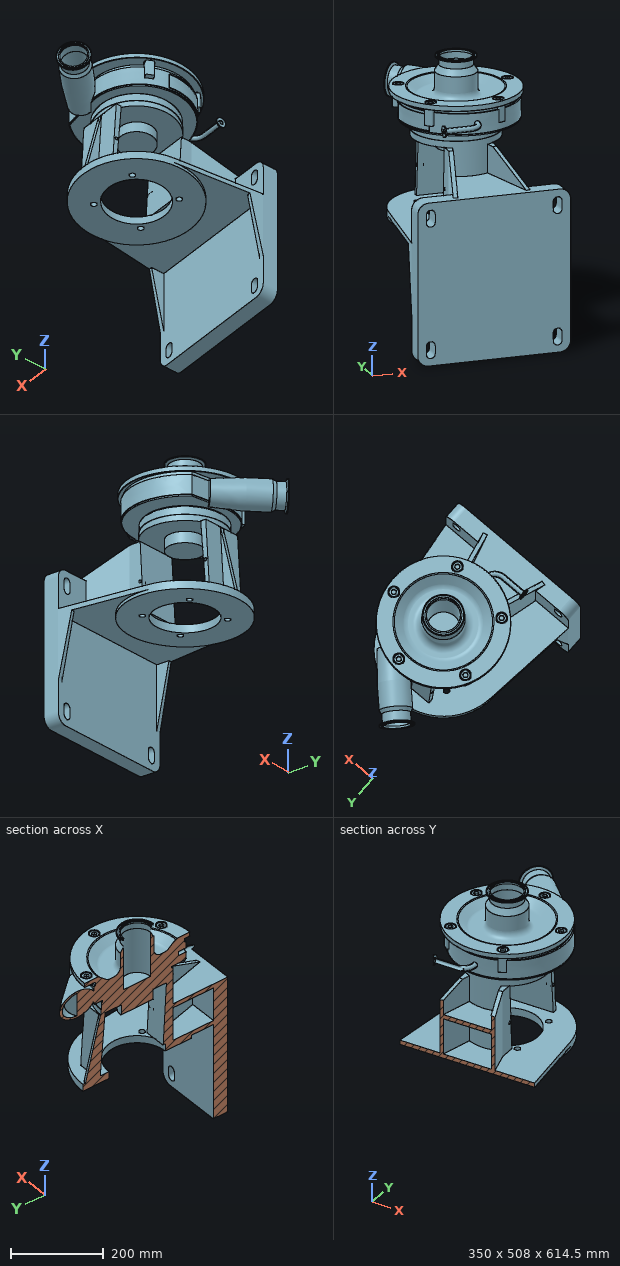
import cadquery as cq
import math


plate_width = 350.0
plate_height = 370.0
plate_thickness = 40.0
plate_back_y = -250.0
plate_front_y = plate_back_y + plate_thickness
plate_corner_radius = 25.0
slot_width = 20.0
slot_length = 38.0
slot_edge_x = 30.0
slot_edge_z = 36.0

shelf_top_z = 270.0
shelf_thickness = 12.0
shelf_bottom_z = shelf_top_z - shelf_thickness
flange_radius = 150.0
flange_thickness = 20.0
flange_bore_diameter = 155.0
flange_hole_diameter = 14.0
flange_hole_circle = 185.0
flange_hole_count = 4

side_rib_thickness = 12.0
side_rib_reach = 34.0
side_rib_bottom_z = 100.0

upright_top_z = 435.0
upright_width = 110.0
front_upright_radius = 100.0
front_leg_thickness = 9.0
front_leg_outer_y = -110.0
front_inner_bottom_y = -71.0
front_inner_top_y = -80.0
back_inner_bottom_y = 101.0
back_inner_top_y = 88.0
back_outer_bottom_y = 112.0
back_outer_top_y = 102.0
back_rib_foot_y = 143.0
back_rib_thickness = 10.0
pin_hole_diameter = 7.0
pin_hole_z = 340.0
pin_hole_inset = 5.3
pin_hole_depth = 15.0

gusset_thickness = 10.0
gusset_start_y = front_leg_outer_y
gusset_root_length = 22.0
gusset_end_y = -234.0
gusset_start_x = 50.0
gusset_end_x = 83.0
deck_root_half_width = 40.0
deck_root_y = -85.0
deck_thickness = 12.0

clamp_ring_radius = 100.0
clamp_ring_top_z = 450.0
neck_radius = 99.0
neck_groove_radius = 96.0
neck_groove_height = 3.0
shaft_housing_radius = 44.5
shaft_housing_bottom_z = 408.0

casing_bottom_z = 472.5
casing_top_z = 523.0
casing_bottom_band = 3.5
casing_step = 2.0
casing_upper_step = 4.0
volute_start_angle = 90.0
volute_end_angle = 405.0
volute_start_radius = 120.0
volute_end_radius = 147.0
volute_intervals = 14
pad_start_angle = 174.0
pad_end_angle = 225.0
pad_bottom_z = 480.0
pad_top_z = 517.0
pad_thickness = 2.0

cover_radius = 145.5
cover_top_z = 544.0
cover_thickness = 12.0
cover_chamfer = 1.0
cover_bottom_z = cover_top_z - cover_thickness
bowl_rim_radius = 109.0
bowl_rim_width = 3.0
bowl_rim_depth = 1.0
bowl_cone_foot_radius = 86.0
bowl_cone_foot_z = 526.6
bowl_floor_outer_radius = 76.0
bowl_floor_inner_radius = 66.0
bowl_floor_z = 523.0
bowl_fillet_top_z = 540.0
bowl_corner_sag = 0.9

screw_count = 5
screw_first_angle = 9.0
screw_circle_radius = 126.0
screw_recess_diameter = 25.0
screw_recess_depth = 10.0
screw_head_diameter = 21.0
screw_head_gap = 1.0
screw_socket_diameter = 12.0
screw_socket_depth = 6.0
lug_width = 20.0
lug_outer_radius = 138.5
lug_inner_radius = 110.0
lug_edge_radius = 3.0
lug_bottom_z = 493.0

inlet_top_z = 614.5
inlet_base_radius = 47.0
inlet_cone_bottom_z = 579.0
inlet_cone_top_z = 594.0
inlet_pipe_radius = 38.1
inlet_bore_diameter = 72.9
inlet_bore_bottom_z = 475.0
inlet_ferrule_radius = 45.5
inlet_groove_radius = 41.7

outlet_axis_z = 496.0
outlet_axis_offset = 115.6
outlet_direction = 135.0
outlet_ferrule_radius = 38.75
outlet_groove_radius = 35.2
outlet_pipe_radius = 31.75
outlet_body_radius = 36.5
outlet_root_radius = 31.0
outlet_bore_diameter = 60.2
outlet_root = 40.0
outlet_body_start = 118.0
outlet_body_end = 175.5
outlet_pipe_start = 184.0
outlet_end = 210.5

drain_z = 499.5
drain_x = 1.0
drain_y = -166.0
drain_diameter = 12.7
drain_bore_diameter = 9.4
drain_bend_radius = 28.0
drain_root_y = -115.0
drain_end_x = -86.5
drain_ferrule_diameter = 25.0

lip_edge = 2.9
lip_taper = 2.5
lip_groove_width = 4.0
lip_groove_depth = 1.4


def disc(radius, bottom_z, top_z):
    return cq.Workplane("XY", origin=(0, 0, bottom_z)).circle(radius).extrude(top_z - bottom_z)


def side_profile(points, thickness, center_x=0.0):
    """Extrude a Y-Z outline along X, centered on center_x."""
    plane = cq.Workplane("YZ", origin=(center_x - thickness / 2, 0, 0))
    return plane.polyline(points).close().extrude(thickness)


def make_wall_plate():
    plate = (
        cq.Workplane("XY")
        .box(plate_width, plate_thickness, plate_height, centered=(True, False, False))
        .translate((0, plate_back_y, 0))
        .edges("|Y")
        .fillet(plate_corner_radius)
    )
    slot_x = plate_width / 2 - slot_edge_x
    centers = [(x, z) for x in (-slot_x, slot_x) for z in (slot_edge_z, plate_height - slot_edge_z)]
    slots = (
        cq.Workplane("XZ", origin=(0, plate_front_y, 0))
        .pushPoints(centers)
        .slot2D(slot_length, slot_width, 90)
        .extrude(plate_thickness)
    )
    return plate.cut(slots)


def shelf_outline(bottom_z, top_z):
    """Slab whose sides run from the wall plate corners tangent to the flange."""
    half_width = plate_width / 2
    corner_distance = math.hypot(half_width, plate_front_y)
    corner_angle = math.atan2(plate_front_y, half_width)
    tangent_angle = corner_angle + math.acos(flange_radius / corner_distance)
    tangent_x = flange_radius * math.cos(tangent_angle)
    tangent_y = flange_radius * math.sin(tangent_angle)
    return (
        cq.Workplane("XY", origin=(0, 0, bottom_z))
        .moveTo(-half_width, plate_front_y)
        .lineTo(half_width, plate_front_y)
        .lineTo(tangent_x, tangent_y)
        .threePointArc((0, flange_radius), (-tangent_x, tangent_y))
        .close()
        .extrude(top_z - bottom_z)
    )


def make_shelf():
    shelf = shelf_outline(shelf_bottom_z, shelf_top_z)
    flange_bottom_z = shelf_top_z - flange_thickness
    shelf = shelf.union(disc(flange_radius, flange_bottom_z, shelf_top_z))
    shelf = shelf.cut(disc(flange_bore_diameter / 2, flange_bottom_z, shelf_top_z))
    holes = (
        cq.Workplane("XY", origin=(0, 0, flange_bottom_z))
        .polarArray(flange_hole_circle / 2, 180 / flange_hole_count, 360, flange_hole_count)
        .circle(flange_hole_diameter / 2)
        .extrude(flange_thickness)
    )
    return shelf.cut(holes)


def make_side_rib(side):
    points = [
        (plate_front_y, side_rib_bottom_z),
        (plate_front_y, shelf_bottom_z),
        (plate_front_y + side_rib_reach, shelf_bottom_z),
    ]
    center_x = side * (plate_width - side_rib_thickness) / 2
    rib = side_profile(points, side_rib_thickness, center_x)
    return rib.intersect(shelf_outline(side_rib_bottom_z, shelf_bottom_z))


def front_profile(outer_y):
    return [
        (front_inner_bottom_y, shelf_top_z),
        (front_inner_top_y, upright_top_z),
        (outer_y, upright_top_z),
        (outer_y, shelf_top_z),
    ]


def make_front_upright():
    rounded_outside = disc(front_upright_radius, shelf_top_z, upright_top_z)
    upright = side_profile(front_profile(-front_upright_radius), upright_width).intersect(rounded_outside)
    leg_x = (upright_width - front_leg_thickness) / 2
    for center_x in (-leg_x, leg_x):
        upright = upright.union(side_profile(front_profile(front_leg_outer_y), front_leg_thickness, center_x))
    return upright


def make_back_upright():
    wall_points = [
        (back_inner_bottom_y, shelf_top_z),
        (back_inner_top_y, upright_top_z),
        (back_outer_top_y, upright_top_z),
        (back_outer_bottom_y, shelf_top_z),
    ]
    rib_points = [
        (back_outer_bottom_y, shelf_top_z),
        (back_outer_top_y, upright_top_z),
        (back_rib_foot_y, shelf_top_z),
    ]
    return side_profile(wall_points, upright_width).union(side_profile(rib_points, back_rib_thickness))


def make_pin_holes():
    """Blind holes along X in both sides of each upright, just behind the inner face."""
    rise = (pin_hole_z - shelf_top_z) / (upright_top_z - shelf_top_z)
    front_face_y = front_inner_bottom_y + rise * (front_inner_top_y - front_inner_bottom_y)
    back_face_y = back_inner_bottom_y + rise * (back_inner_top_y - back_inner_bottom_y)
    centers = [(front_face_y - pin_hole_inset, pin_hole_z), (back_face_y + pin_hole_inset, pin_hole_z)]
    holes = cq.Workplane("XY")
    for start_x in (-upright_width / 2, upright_width / 2 - pin_hole_depth):
        plane = cq.Workplane("YZ", origin=(start_x, 0, 0))
        holes = holes.union(plane.pushPoints(centers).circle(pin_hole_diameter / 2).extrude(pin_hole_depth))
    return holes


def make_gusset(side):
    run_x = gusset_end_x - gusset_start_x
    run_y = gusset_end_y - gusset_start_y
    length = math.hypot(run_x, run_y)
    to_plate_front = length * (plate_front_y - gusset_start_y) / run_y
    direction = cq.Vector(side * run_x, run_y, 0)
    normal = direction.cross(cq.Vector(0, 0, 1))
    plane = cq.Plane(origin=(side * gusset_start_x, gusset_start_y, 0), xDir=direction, normal=normal)
    return (
        cq.Workplane(plane)
        .polyline([
            (-gusset_root_length, shelf_top_z),
            (-gusset_root_length, upright_top_z),
            (0, upright_top_z),
            (length, plate_height),
            (to_plate_front, plate_height),
            (to_plate_front, shelf_top_z),
        ])
        .close()
        .extrude(gusset_thickness / 2, both=True)
    )


def make_deck():
    """Plate level with the top of the wall plate, between the gussets."""
    front_half_width = gusset_start_x
    run_share = (plate_front_y - gusset_start_y) / (gusset_end_y - gusset_start_y)
    back_half_width = gusset_start_x + run_share * (gusset_end_x - gusset_start_x)
    return (
        cq.Workplane("XY", origin=(0, 0, plate_height - deck_thickness))
        .polyline([
            (-front_half_width, gusset_start_y),
            (-deck_root_half_width, deck_root_y),
            (deck_root_half_width, deck_root_y),
            (front_half_width, gusset_start_y),
            (back_half_width, plate_front_y),
            (-back_half_width, plate_front_y),
        ])
        .close()
        .extrude(deck_thickness)
    )


def make_neck():
    neck = disc(neck_radius, upright_top_z, casing_bottom_z - neck_groove_height)
    neck = neck.union(disc(neck_groove_radius, upright_top_z, casing_bottom_z))
    neck = neck.union(disc(clamp_ring_radius, upright_top_z, clamp_ring_top_z))
    return neck.union(disc(shaft_housing_radius, shaft_housing_bottom_z, upright_top_z))


def volute_layer(inset, bottom_z, top_z):
    """Slice of the casing whose radius grows evenly with the angle."""
    points = []
    for step in range(volute_intervals + 1):
        share = step / volute_intervals
        angle = math.radians(volute_start_angle + share * (volute_end_angle - volute_start_angle))
        radius = volute_start_radius + share * (volute_end_radius - volute_start_radius) - inset
        points.append((radius * math.cos(angle), radius * math.sin(angle)))
    plane = cq.Workplane("XY", origin=(0, 0, bottom_z))
    return plane.moveTo(*points[0]).spline(points[1:], includeCurrent=True).close().extrude(top_z - bottom_z)


def make_casing():
    band_top_z = casing_bottom_z + casing_bottom_band
    casing = volute_layer(casing_step, casing_bottom_z, band_top_z)
    casing = casing.union(volute_layer(0, band_top_z, casing_top_z))
    return casing.union(volute_layer(casing_upper_step, casing_top_z, cover_bottom_z))


def make_pad():
    """Raised pad that follows the casing wall on the -X side."""
    sector_radius = volute_end_radius + pad_thickness
    sector = (
        cq.Workplane("XZ")
        .moveTo(0, pad_bottom_z)
        .lineTo(sector_radius, pad_bottom_z)
        .lineTo(sector_radius, pad_top_z)
        .lineTo(0, pad_top_z)
        .close()
        .revolve(pad_end_angle - pad_start_angle, (0, 0, 0), (0, 1, 0))
        .rotate((0, 0, 0), (0, 0, 1), pad_start_angle)
    )
    return volute_layer(-pad_thickness, pad_bottom_z, pad_top_z).intersect(sector)


def make_lug(angle):
    lug = (
        cq.Workplane("XY")
        .box(
            lug_outer_radius - lug_inner_radius,
            lug_width,
            cover_bottom_z - lug_bottom_z,
            centered=(False, True, False),
        )
        .translate((lug_inner_radius, 0, lug_bottom_z))
        .edges(">X and |Z")
        .fillet(lug_edge_radius)
    )
    return lug.rotate((0, 0, 0), (0, 0, 1), angle)


def make_bowl_cut():
    """Ring-shaped bowl between the cover rim and the foot of the inlet pipe."""
    middle_radius = (bowl_floor_outer_radius + bowl_cone_foot_radius) / 2
    middle_z = (bowl_floor_z + bowl_cone_foot_z) / 2 - bowl_corner_sag
    fillet_width = bowl_floor_inner_radius - inlet_base_radius
    fillet_height = bowl_fillet_top_z - bowl_floor_z
    diagonal = 1 - math.sqrt(0.5)
    fillet_middle = (
        inlet_base_radius + diagonal * fillet_width,
        bowl_floor_z + diagonal * fillet_height,
    )
    return (
        cq.Workplane("XZ")
        .moveTo(inlet_base_radius, cover_top_z)
        .lineTo(bowl_rim_radius, cover_top_z)
        .lineTo(bowl_rim_radius - bowl_rim_width, cover_top_z - bowl_rim_depth)
        .lineTo(bowl_cone_foot_radius, bowl_cone_foot_z)
        .threePointArc((middle_radius, middle_z), (bowl_floor_outer_radius, bowl_floor_z))
        .lineTo(bowl_floor_inner_radius, bowl_floor_z)
        .threePointArc(fillet_middle, (inlet_base_radius, bowl_fillet_top_z))
        .close()
        .revolve(360, (0, 0, 0), (0, 1, 0))
    )


def make_screw_cut(angle):
    """Recess around a sunk screw head, together with the head's socket."""
    recess_bottom_z = cover_top_z - screw_recess_depth
    head_top_z = cover_top_z - screw_head_gap
    socket = (
        cq.Workplane("XY", origin=(0, 0, head_top_z))
        .polygon(6, screw_socket_diameter)
        .extrude(-screw_socket_depth)
    )
    head = disc(screw_head_diameter / 2, recess_bottom_z, head_top_z).cut(socket)
    recess = disc(screw_recess_diameter / 2, recess_bottom_z, cover_top_z).cut(head)
    return recess.translate((screw_circle_radius, 0, 0)).rotate((0, 0, 0), (0, 0, 1), angle)


def make_inlet():
    return (
        cq.Workplane("XZ")
        .polyline([
            (0, bowl_floor_z),
            (inlet_base_radius, bowl_floor_z),
            (inlet_base_radius, inlet_cone_bottom_z),
            (inlet_pipe_radius, inlet_cone_top_z),
            (inlet_pipe_radius, inlet_top_z - lip_edge - lip_taper),
            (inlet_ferrule_radius, inlet_top_z - lip_edge),
            (inlet_ferrule_radius, inlet_top_z),
            (0, inlet_top_z),
        ])
        .close()
        .revolve(360, (0, 0, 0), (0, 1, 0))
    )


def outlet_revolve(points):
    """Revolve (distance along the axis, radius) points and place them on the outlet axis."""
    turned = cq.Workplane("XY").polyline(points).close().revolve(360, (0, 0, 0), (1, 0, 0))
    moved = turned.translate((0, -outlet_axis_offset, outlet_axis_z))
    return moved.rotate((0, 0, 0), (0, 0, 1), outlet_direction)


def make_outlet():
    return outlet_revolve([
        (outlet_root, 0),
        (outlet_root, outlet_root_radius),
        (outlet_body_start, outlet_body_radius),
        (outlet_body_end, outlet_body_radius),
        (outlet_pipe_start, outlet_pipe_radius),
        (outlet_end - lip_edge - lip_taper, outlet_pipe_radius),
        (outlet_end - lip_edge, outlet_ferrule_radius),
        (outlet_end, outlet_ferrule_radius),
        (outlet_end, 0),
    ])


def make_inlet_groove():
    groove_bottom_z = inlet_top_z - lip_groove_depth
    groove = disc(inlet_groove_radius + lip_groove_width / 2, groove_bottom_z, inlet_top_z)
    return groove.cut(disc(inlet_groove_radius - lip_groove_width / 2, groove_bottom_z, inlet_top_z))


def make_outlet_groove():
    inner_radius = outlet_groove_radius - lip_groove_width / 2
    outer_radius = outlet_groove_radius + lip_groove_width / 2
    return outlet_revolve([
        (outlet_end - lip_groove_depth, inner_radius),
        (outlet_end - lip_groove_depth, outer_radius),
        (outlet_end, outer_radius),
        (outlet_end, inner_radius),
    ])


def make_outlet_bore():
    bore_radius = outlet_bore_diameter / 2
    return outlet_revolve([
        (outlet_body_start, 0),
        (outlet_body_start, bore_radius),
        (outlet_end, bore_radius),
        (outlet_end, 0),
    ])


def drain_sweep(diameter):
    """Round bar along the drain path: out of the casing, then bent towards -X."""
    bend_center_x = drain_x - drain_bend_radius
    bend_center_y = drain_y + drain_bend_radius
    reach = drain_bend_radius * math.sqrt(0.5)
    path = (
        cq.Workplane("XY", origin=(0, 0, drain_z))
        .moveTo(drain_x, drain_root_y)
        .lineTo(drain_x, bend_center_y)
        .threePointArc((bend_center_x + reach, bend_center_y - reach), (bend_center_x, drain_y))
        .lineTo(drain_end_x, drain_y)
    )
    start = cq.Workplane("XZ", origin=(drain_x, drain_root_y, drain_z))
    return start.circle(diameter / 2).sweep(path)


def make_drain():
    ferrule = (
        cq.Workplane("YZ", origin=(drain_end_x, drain_y, drain_z))
        .circle(drain_ferrule_diameter / 2)
        .extrude(lip_edge)
    )
    return drain_sweep(drain_diameter).union(ferrule)


def make_bracket():
    bracket = make_wall_plate().union(make_shelf())
    bracket = bracket.union(make_front_upright()).union(make_back_upright()).union(make_deck())
    for side in (-1, 1):
        bracket = bracket.union(make_side_rib(side)).union(make_gusset(side))
    return bracket.cut(make_pin_holes())


def make_pump():
    screw_angles = [screw_first_angle + i * 360 / screw_count for i in range(screw_count)]
    pump = make_neck().union(make_casing()).union(make_pad())
    for angle in screw_angles:
        pump = pump.union(make_lug(angle))
    cover = disc(cover_radius, cover_bottom_z, cover_top_z).faces("<Z").chamfer(cover_chamfer)
    pump = pump.union(cover)
    pump = pump.cut(make_bowl_cut())
    for angle in screw_angles:
        pump = pump.cut(make_screw_cut(angle))
    pump = pump.union(make_inlet()).union(make_outlet()).union(make_drain())
    pump = pump.cut(make_inlet_groove()).cut(make_outlet_groove())
    pump = pump.cut(disc(inlet_bore_diameter / 2, inlet_bore_bottom_z, inlet_top_z))
    return pump.cut(make_outlet_bore()).cut(drain_sweep(drain_bore_diameter))


result = make_bracket().union(make_pump())